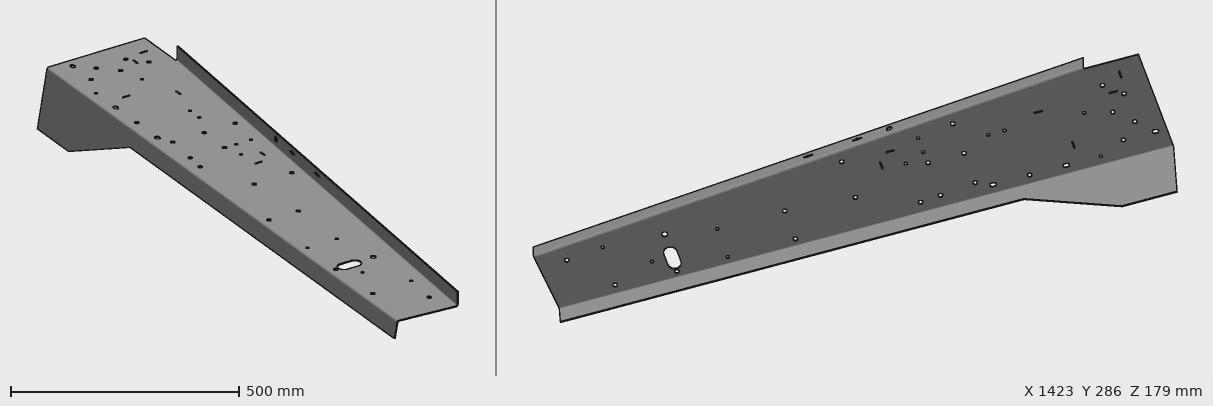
import cadquery as cq
import math


LENGTH = 1423.0
THICKNESS = 3.0
INNER_RADIUS = 3.0
OUTER_RADIUS = INNER_RADIUS + THICKNESS

OVERALL_DEPTH = 286.0
FRONT_LEAN = 10.0
DEEP_DROP = 145.0
SHALLOW_DROP = 43.0
DEEP_END_X = 127.0
TAPER_END_X = 346.0

BACK_SLANT = 4.8
BACK_RISE = 34.0
BACK_START_X = 125.0

LARGE_DIAMETER = 10.0
LARGE_HOLES = [
    (100.0, 202.0), (100.0, 128.0), (100.0, 51.0), (61.0, 166.0), (61.0, 90.0),
    (443.0, 205.0), (443.0, 124.0), (443.0, 43.0), (525.0, 124.0), (525.0, 34.0),
    (323.0, 25.0), (572.0, 30.0), (705.0, 184.0), (705.0, 85.0),
    (862.0, 98.0), (862.0, 21.0), (1356.0, 120.0), (1275.0, 25.0), (1135.0, 18.0),
]
EXTRA_LARGE_DIAMETER = 13.0
EXTRA_LARGE_HOLES = [(1131.0, 120.0)]
MEDIUM_DIAMETER = 7.0
MEDIUM_HOLES = [
    (160.0, 145.0), (160.0, 25.0), (340.0, 154.0), (572.0, 137.0),
    (1017.0, 98.0), (1017.0, 21.0), (1180.0, 60.0), (1270.0, 128.0),
]
SMALL_DIAMETER = 7.0
SMALL_HOLES = [(377.0, 154.0), (526.0, 192.0), (526.0, 154.0)]

MOUNT_SLOT = (14.0, 10.0)
MOUNT_SLOTS = [(25.0, 51.0), (239.0, 25.0), (407.0, 25.0)]
NARROW_SLOT = (18.0, 3.0)
NARROW_SLOTS_ALONG_X = [(83.0, 178.0), (255.0, 178.0), (595.0, 178.0)]
NARROW_SLOTS_ALONG_Y = [(54.0, 218.0), (208.0, 73.0), (625.0, 148.0)]
CABLE_SLOT = (58.0, 30.0)
CABLE_SLOT_CENTRE = (1134.0, 55.0)

FLANGE_SLOT_HEIGHT = 20.0
FLANGE_HOLE_HEIGHT = 18.0
FLANGE_HOLE_DIAMETER = 13.0
FLANGE_HOLE_X = 583.0
FLANGE_SLOT = (21.0, 3.0)
FLANGE_SLOT_EYE = 7.0
FLANGE_SLOT_XS = [659.0, 774.0]

lean = math.radians(FRONT_LEAN)
slant = math.radians(BACK_SLANT)
bend_turn = math.pi / 2 - lean
front_tangent_y = OUTER_RADIUS * math.sin(bend_turn)


def front_face_y(drop):
    """Y of the outer face of the front flange at a depth below the web top."""
    bend_drop = OUTER_RADIUS * (1 - math.cos(bend_turn))
    return -(drop - bend_drop) * math.tan(lean)


back_start_y = OVERALL_DEPTH + front_face_y(DEEP_DROP)
back_length = (LENGTH - BACK_START_X) / math.cos(slant)


def along_back(distance, inset):
    """Point at a distance along the back flange, inset toward the web from its outer face."""
    x = BACK_START_X + distance * math.cos(slant) - inset * math.sin(slant)
    y = back_start_y - distance * math.sin(slant) - inset * math.cos(slant)
    return x, y


back_tangent_end = along_back(back_length, OUTER_RADIUS)
front_length = back_tangent_end[0] - (back_tangent_end[1] - front_tangent_y) * math.tan(slant)


def make_web():
    back_tangent_start = along_back(0, OUTER_RADIUS)
    outline = [
        (0, front_tangent_y),
        (front_length, front_tangent_y),
        back_tangent_end,
        back_tangent_start,
        (0, back_tangent_start[1]),
    ]
    return cq.Workplane("XY").polyline(outline).close().extrude(-THICKNESS)


def bent_strip(plane, turn, leg):
    """Bend and straight leg of sheet; local x points away from the web, local y to the outer side."""
    def arc_point(radius, angle):
        return radius * math.sin(angle), radius * math.cos(angle) - OUTER_RADIUS

    leg_x = leg * math.cos(turn)
    leg_y = -leg * math.sin(turn)
    outer_end = arc_point(OUTER_RADIUS, turn)
    inner_end = arc_point(INNER_RADIUS, turn)
    return (
        cq.Workplane(plane)
        .moveTo(*arc_point(OUTER_RADIUS, 0))
        .threePointArc(arc_point(OUTER_RADIUS, turn / 2), outer_end)
        .lineTo(outer_end[0] + leg_x, outer_end[1] + leg_y)
        .lineTo(inner_end[0] + leg_x, inner_end[1] + leg_y)
        .lineTo(*inner_end)
        .threePointArc(arc_point(INNER_RADIUS, turn / 2), arc_point(INNER_RADIUS, 0))
        .close()
    )


def make_front_flange():
    spare_leg = DEEP_DROP / math.cos(lean)
    plane = cq.Plane(origin=(0, front_tangent_y, 0), xDir=(0, -1, 0), normal=(-1, 0, 0))
    strip = bent_strip(plane, bend_turn, spare_leg).extrude(-front_length)
    outline = [
        (0, 0),
        (front_length, 0),
        (front_length, -SHALLOW_DROP),
        (TAPER_END_X, -SHALLOW_DROP),
        (DEEP_END_X, -DEEP_DROP),
        (0, -DEEP_DROP),
    ]
    keep = cq.Workplane("XZ").polyline(outline).close().extrude(OVERALL_DEPTH, both=True)
    return strip.intersect(keep)


def make_back_flange():
    leg = BACK_RISE + THICKNESS - OUTER_RADIUS
    plane = cq.Plane(
        origin=(*along_back(0, OUTER_RADIUS), -THICKNESS),
        xDir=(math.sin(slant), math.cos(slant), 0),
        normal=(-math.cos(slant), math.sin(slant), 0),
    )
    return bent_strip(plane, math.pi / 2, leg).extrude(-back_length)


def web_holes(points, diameter):
    return cq.Workplane("XY").pushPoints(points).circle(diameter / 2).extrude(THICKNESS, both=True)


def web_slots(points, size, angle=0):
    return cq.Workplane("XY").pushPoints(points).slot2D(*size, angle).extrude(THICKNESS, both=True)


def flange_cutters(xs, height, sketch):
    """Through cutters in the back flange; sketch draws one opening at each centre of a workplane."""
    face = cq.Plane(
        origin=(*along_back(0, 0), height),
        xDir=(math.cos(slant), -math.sin(slant), 0),
        normal=(-math.sin(slant), -math.cos(slant), 0),
    )
    centres = [((x - BACK_START_X) / math.cos(slant), 0) for x in xs]
    return sketch(cq.Workplane(face).pushPoints(centres)).extrude(OUTER_RADIUS, both=True)


result = make_web().union(make_front_flange()).union(make_back_flange())

for hole_points, hole_diameter in [
    (LARGE_HOLES, LARGE_DIAMETER),
    (EXTRA_LARGE_HOLES, EXTRA_LARGE_DIAMETER),
    (MEDIUM_HOLES, MEDIUM_DIAMETER),
    (SMALL_HOLES, SMALL_DIAMETER),
]:
    result = result.cut(web_holes(hole_points, hole_diameter))

for slot_points, slot_size, slot_angle in [
    (MOUNT_SLOTS, MOUNT_SLOT, 0),
    (NARROW_SLOTS_ALONG_X, NARROW_SLOT, 0),
    (NARROW_SLOTS_ALONG_Y, NARROW_SLOT, 90),
    ([CABLE_SLOT_CENTRE], CABLE_SLOT, 90),
]:
    result = result.cut(web_slots(slot_points, slot_size, slot_angle))

for opening_xs, opening_height, draw_opening in [
    ([FLANGE_HOLE_X], FLANGE_HOLE_HEIGHT, lambda spots: spots.circle(FLANGE_HOLE_DIAMETER / 2)),
    (FLANGE_SLOT_XS, FLANGE_SLOT_HEIGHT, lambda spots: spots.slot2D(*FLANGE_SLOT)),
    (FLANGE_SLOT_XS, FLANGE_SLOT_HEIGHT, lambda spots: spots.circle(FLANGE_SLOT_EYE / 2)),
]:
    result = result.cut(flange_cutters(opening_xs, opening_height, draw_opening))